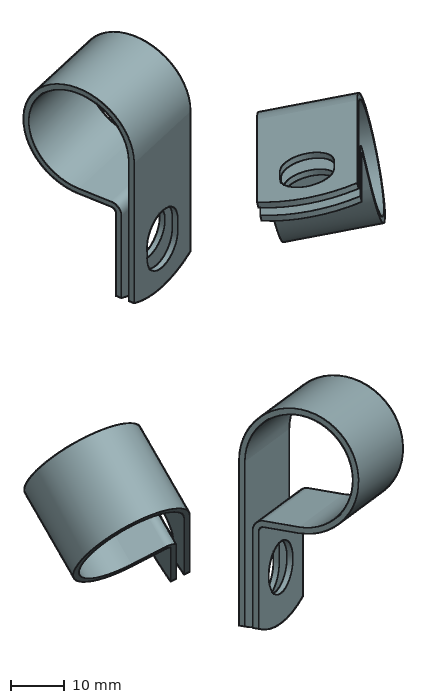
import cadquery as cq
import math

strip_width = 19.05
thickness = 1.25
loop_outer_radius = 12.35
total_height = 47.25
leg_gap = 1.6
bend_inner_radius = 1.1
hole_diameter = 10.3
slot_length = 13.15
hole_height = 11.15
end_rise = 2.15

loop_inner_radius = loop_outer_radius - thickness
bend_outer_radius = bend_inner_radius + thickness
bottom = loop_outer_radius - total_height
short_leg_outer = loop_inner_radius - leg_gap
short_leg_inner = short_leg_outer - thickness
bend_x = short_leg_outer - bend_outer_radius
bend_z = -loop_inner_radius - bend_outer_radius
diagonal = math.sqrt(0.5)


def strip_profile():
    """Edge outline of the bent strip: long leg, loop, shelf and short leg."""
    return (
        cq.Workplane("XZ")
        .moveTo(loop_outer_radius, bottom)
        .lineTo(loop_outer_radius, 0)
        .threePointArc(
            (-loop_outer_radius * diagonal, loop_outer_radius * diagonal),
            (0, -loop_outer_radius),
        )
        .lineTo(bend_x, -loop_outer_radius)
        .threePointArc(
            (bend_x + bend_inner_radius * diagonal, bend_z + bend_inner_radius * diagonal),
            (short_leg_inner, bend_z),
        )
        .lineTo(short_leg_inner, bottom)
        .lineTo(short_leg_outer, bottom)
        .lineTo(short_leg_outer, bend_z)
        .threePointArc(
            (bend_x + bend_outer_radius * diagonal, bend_z + bend_outer_radius * diagonal),
            (bend_x, -loop_inner_radius),
        )
        .lineTo(0, -loop_inner_radius)
        .threePointArc(
            (-loop_inner_radius * diagonal, loop_inner_radius * diagonal),
            (loop_inner_radius, 0),
        )
        .lineTo(loop_inner_radius, bottom)
        .close()
    )


def rounded_end_envelope():
    """Block along X whose arched underside trims both leg ends."""
    half_width = strip_width / 2
    return (
        cq.Workplane("YZ")
        .moveTo(-half_width, loop_outer_radius)
        .lineTo(-half_width, bottom + end_rise)
        .threePointArc((0, bottom), (half_width, bottom + end_rise))
        .lineTo(half_width, loop_outer_radius)
        .close()
        .extrude(loop_outer_radius, both=True)
    )


def short_leg_hole():
    """Round screw hole through the short leg."""
    return (
        cq.Workplane("YZ", origin=(short_leg_inner, 0, bottom + hole_height))
        .circle(hole_diameter / 2)
        .extrude(thickness)
    )


def long_leg_slot():
    """Upright slot through the long leg, as wide as the round hole and centred on it."""
    return (
        cq.Workplane("YZ", origin=(loop_inner_radius, 0, bottom + hole_height))
        .slot2D(slot_length, hole_diameter, 90)
        .extrude(thickness)
    )


strip = strip_profile().extrude(strip_width / 2, both=True)
clamp = strip.intersect(rounded_end_envelope())
result = clamp.cut(short_leg_hole()).cut(long_leg_slot())